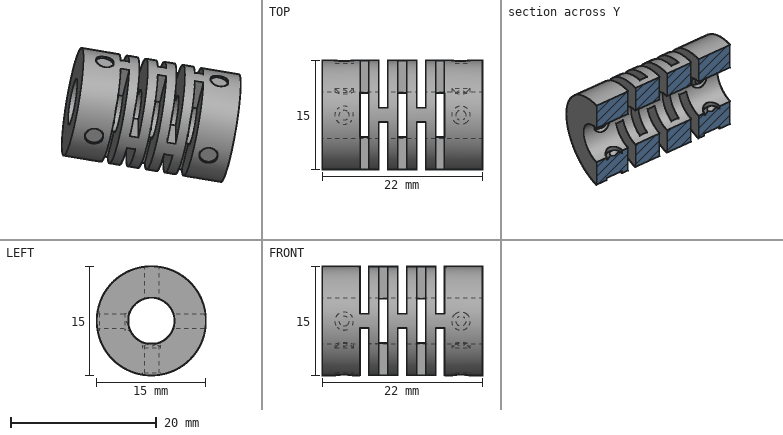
import cadquery as cq
import math

length = 22
outer_diameter = 15.0
bore_diameter = 6.34

slot_width = 1.19
slot_pitch = 2.6
slot_count = 5
web_thickness = 2.0

screw_diameter = 2.5
screw_length = 4.0
screw_inset = 3.0
tip_lift = 0.07
cup_diameter = 1.36
cup_angle = 120

outer_radius = outer_diameter / 2
bore_radius = bore_diameter / 2
screw_radius = screw_diameter / 2
cup_radius = cup_diameter / 2
tip_chamfer = screw_radius - cup_radius
cup_depth = cup_radius / math.tan(math.radians(cup_angle / 2))


def about_x(shape, angle):
    """Turn a shape about the tube axis."""
    return shape.rotate((0, 0, 0), (1, 0, 0), angle)


def tube():
    """Plain tube before slotting and drilling."""
    return (
        cq.Workplane("YZ")
        .circle(outer_radius)
        .circle(bore_radius)
        .extrude(length / 2, both=True)
    )


def slot_pair(x):
    """Cuts from above and below, leaving a web on the -Y and +Y sides."""
    depth = outer_radius - web_thickness / 2
    middle = (outer_radius + web_thickness / 2) / 2
    block = cq.Workplane("XY").box(slot_width, outer_diameter, depth)
    upper = block.translate((x, 0, middle))
    lower = block.translate((x, 0, -middle))
    return upper.union(lower)


def screw_hole(x):
    """Hole from the tube axis out through the -Z side."""
    return cq.Workplane("XY").center(x, 0).circle(screw_radius).extrude(-outer_radius)


def set_screw(x):
    """Cup-point screw in the -Z hole, its 45-degree chamfered tip facing the bore."""
    tip_z = -bore_radius + tip_lift
    outer_end_z = tip_z - screw_length
    profile = [
        (0, outer_end_z),
        (screw_radius, outer_end_z),
        (screw_radius, tip_z - tip_chamfer),
        (cup_radius, tip_z),
        (0, tip_z - cup_depth),
    ]
    screw = cq.Workplane("XZ").polyline(profile).close().revolve(360, (0, 0, 0), (0, 1, 0))
    return screw.translate((x, 0, 0))


result = tube()

for index in range(slot_count):
    slot_x = (index - (slot_count - 1) / 2) * slot_pitch
    quarter_turn = 90 * (index % 2)
    result = result.cut(about_x(slot_pair(slot_x), quarter_turn))

for side in (-1, 1):
    screw_x = side * (length / 2 - screw_inset)
    for angle in (0, 90):
        result = result.cut(about_x(screw_hole(screw_x), angle))
        result = result.union(about_x(set_screw(screw_x), angle))